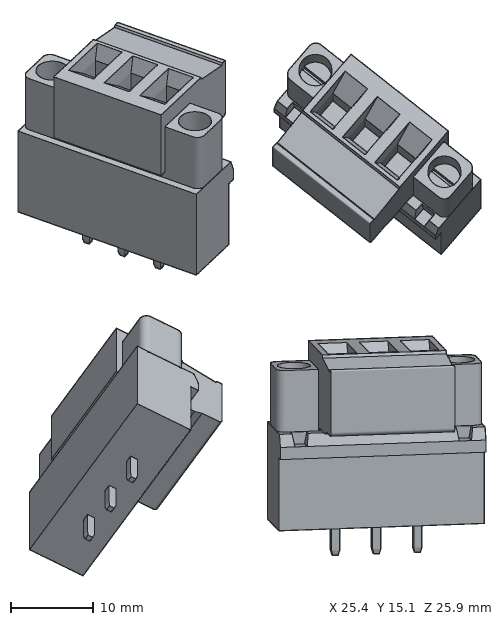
import cadquery as cq

PITCH = 5.08
POLES = 3
WIDTH = 25.4
HEIGHT = 25.9
DEPTH = 15.05
pole_xs = [PITCH * (i - (POLES - 1) / 2) for i in range(POLES)]
screw_offset = PITCH * (POLES + 1) / 2
screw_xs = [-screw_offset, screw_offset]

HEADER_BOTTOM = 3.95
HEADER_TOP = 16.0
HEADER_DEPTH = 7.6
LEDGE_BACK = 8.65
LEDGE_TOP_BACK = 8.03
LEDGE_SLOPE_BOTTOM = 14.5
LEDGE_BOTTOM = 13.0

NOTCH_TOP_WIDTH = 2.02
NOTCH_FLOOR_WIDTH = 1.5
NOTCH_FRONT = 6.95

PIN_WIDTH = 1.0
PIN_TIP_WIDTH = 0.67
PIN_TIP_LENGTH = 0.62

PLUG_WIDTH = 15.3
PLUG_FRONT = 0.08
PLUG_BOTTOM = 16.85
PLUG_FOOT_BOTTOM = 16.47
FOOT_FRONT = 7.6
FOOT_BACK = 11.14
FOOT_SLOPE_BACK = 12.22
PLUG_BOTTOM_RADIUS = 0.52
RIM_TOP = 25.05
RIM_FRONT = 14.32
RIM_RADIUS = 0.15
GROOVE_BACK = 14.17
GROOVE_BOTTOM = 24.75
STEP_BOTTOM_BACK = 9.5
STEP_BOTTOM = 25.55
STEP_TOP_BACK = 9.32

FLANGE_WIDTH = 25.35
FLANGE_TOP = 23.62
FLANGE_FRONT = 0.93
FLANGE_DEPTH = 5.83
FLANGE_RADIUS = 1.0
flange_back = FLANGE_FRONT + FLANGE_DEPTH
axis_y = FLANGE_FRONT + FLANGE_DEPTH / 2

SCREW_HOLE_DIAMETER = 4.0
SCREW_HEAD_DIAMETER = 3.9
SCREW_RECESS = 3.1
SCREW_HEAD_HEIGHT = 1.55
SCREW_SLOT_WIDTH = 0.47
SCREW_SLOT_DEPTH = 0.78

FUNNEL_WIDTH = 3.52
FUNNEL_FRONT = 2.2
FUNNEL_BACK = 8.85
FUNNEL_DEPTH = 1.95
SHAFT_WIDTH = 3.0
SHAFT_FRONT = 4.87
SHAFT_BACK = 7.98
SHAFT_DEPTH = 3.1


def extrude_along_x(points, width):
    """Solid with a (Y, Z) outline, centred on X = 0."""
    return cq.Workplane("YZ").polyline(points).close().extrude(width / 2, both=True)


def make_header():
    outline = [
        (0, HEADER_BOTTOM),
        (HEADER_DEPTH, HEADER_BOTTOM),
        (HEADER_DEPTH, LEDGE_BOTTOM),
        (LEDGE_BACK, LEDGE_BOTTOM),
        (LEDGE_BACK, LEDGE_SLOPE_BOTTOM),
        (LEDGE_TOP_BACK, HEADER_TOP),
        (0, HEADER_TOP),
    ]
    return extrude_along_x(outline, WIDTH)


def make_notch(x):
    """Cutter that narrows from the header top down to the notch floor."""
    half_top = NOTCH_TOP_WIDTH / 2
    half_floor = NOTCH_FLOOR_WIDTH / 2
    outline = [
        (x - half_floor, LEDGE_SLOPE_BOTTOM),
        (x + half_floor, LEDGE_SLOPE_BOTTOM),
        (x + half_top, HEADER_TOP),
        (x - half_top, HEADER_TOP),
    ]
    section = cq.Workplane("XZ", origin=(0, NOTCH_FRONT, 0)).polyline(outline).close()
    return section.extrude(NOTCH_FRONT - LEDGE_BACK)


def make_pin(x):
    tip = (
        cq.Workplane("XY", origin=(x, axis_y, 0))
        .rect(PIN_TIP_WIDTH, PIN_TIP_WIDTH)
        .workplane(offset=PIN_TIP_LENGTH)
        .rect(PIN_WIDTH, PIN_WIDTH)
        .loft()
    )
    return tip.faces(">Z").wires().toPending().workplane().extrude(HEADER_BOTTOM - PIN_TIP_LENGTH)


def make_plug():
    outline = [
        (PLUG_FRONT, PLUG_BOTTOM),
        (FLANGE_FRONT, PLUG_BOTTOM),
        (FLANGE_FRONT, HEADER_TOP),
        (flange_back, HEADER_TOP),
        (FOOT_FRONT, PLUG_FOOT_BOTTOM),
        (FOOT_BACK, PLUG_FOOT_BOTTOM),
        (FOOT_SLOPE_BACK, PLUG_BOTTOM),
        (DEPTH, PLUG_BOTTOM),
        (DEPTH, RIM_TOP),
        (RIM_FRONT, RIM_TOP),
        (GROOVE_BACK, GROOVE_BOTTOM),
        (STEP_BOTTOM_BACK, STEP_BOTTOM),
        (STEP_TOP_BACK, HEIGHT),
        (PLUG_FRONT, HEIGHT),
    ]
    plug = extrude_along_x(outline, PLUG_WIDTH)
    plug = plug.faces(">Y").edges(">Z").fillet(RIM_RADIUS)
    return plug.faces(">Y").edges("<Z").fillet(PLUG_BOTTOM_RADIUS)


def make_flanges():
    """One bar across the full width; its middle lies inside the plug."""
    bar = cq.Workplane("XY", origin=(0, axis_y, HEADER_TOP)).rect(FLANGE_WIDTH, FLANGE_DEPTH)
    return bar.extrude(FLANGE_TOP - HEADER_TOP).edges("|Z").fillet(FLANGE_RADIUS)


def make_screw_hole(x):
    hole_depth = SCREW_RECESS + SCREW_HEAD_HEIGHT
    hole = cq.Workplane("XY", origin=(x, axis_y, FLANGE_TOP)).circle(SCREW_HOLE_DIAMETER / 2)
    return hole.extrude(-hole_depth)


def make_screw_head(x):
    top_z = FLANGE_TOP - SCREW_RECESS
    top = cq.Workplane("XY", origin=(x, axis_y, top_z))
    head = top.circle(SCREW_HEAD_DIAMETER / 2).extrude(-SCREW_HEAD_HEIGHT)
    slot = top.rect(SCREW_HEAD_DIAMETER, SCREW_SLOT_WIDTH).extrude(-SCREW_SLOT_DEPTH)
    return head.cut(slot)


def make_terminal_opening(x):
    funnel_bottom = HEIGHT - FUNNEL_DEPTH
    shaft_length = SHAFT_BACK - SHAFT_FRONT
    shaft_y = (SHAFT_FRONT + SHAFT_BACK) / 2
    funnel_y = (FUNNEL_FRONT + FUNNEL_BACK) / 2
    base = cq.Workplane("XY", origin=(x, shaft_y, funnel_bottom))
    shaft = base.rect(SHAFT_WIDTH, shaft_length).extrude(-SHAFT_DEPTH)
    funnel = (
        base.rect(SHAFT_WIDTH, shaft_length)
        .workplane(offset=FUNNEL_DEPTH)
        .center(0, funnel_y - shaft_y)
        .rect(FUNNEL_WIDTH, FUNNEL_BACK - FUNNEL_FRONT)
        .loft()
    )
    return shaft.union(funnel)


result = make_header().union(make_plug()).union(make_flanges())
for x in pole_xs:
    result = result.union(make_pin(x)).cut(make_terminal_opening(x))
for x in screw_xs:
    result = result.cut(make_notch(x)).cut(make_screw_hole(x)).union(make_screw_head(x))